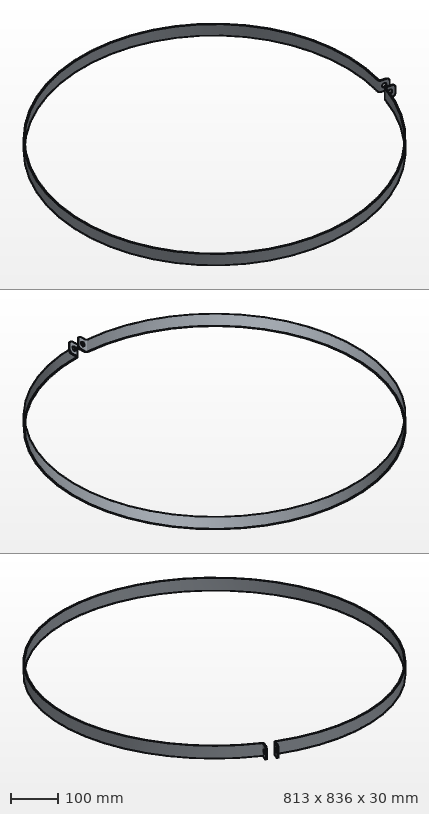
import cadquery as cq
import math

length = 836.0
outer_diameter = 813.0
band_width = 30.0
thickness = 3.0

gap = 22.5
bend_inner_radius = 2.0
lug_corner_radius = 7.5
hole_diameter = 11.0
hole_from_tip = 13.0

outer_radius = outer_diameter / 2
inner_radius = outer_radius - thickness
bend_outer_radius = bend_inner_radius + thickness
lug_tip = length - outer_radius
lug_inner_x = gap / 2
lug_outer_x = lug_inner_x + thickness


def ring_y(x, radius):
    """Height on a ring circle at the given distance from the split plane."""
    return math.sqrt(radius**2 - x**2)


def make_band():
    """Split ring with a straight lug on each side of the split."""
    outer_root = ring_y(lug_outer_x, outer_radius)
    inner_root = ring_y(lug_inner_x, inner_radius)
    return (
        cq.Workplane("XY")
        .workplane(offset=-band_width / 2)
        .moveTo(lug_outer_x, outer_root)
        .threePointArc((0, -outer_radius), (-lug_outer_x, outer_root))
        .lineTo(-lug_outer_x, lug_tip)
        .lineTo(-lug_inner_x, lug_tip)
        .lineTo(-lug_inner_x, inner_root)
        .threePointArc((0, -inner_radius), (lug_inner_x, inner_root))
        .lineTo(lug_inner_x, lug_tip)
        .lineTo(lug_outer_x, lug_tip)
        .close()
        .extrude(band_width)
    )


def upright_edge_at(x, y):
    """Selector for the vertical edge through a profile corner."""
    return cq.selectors.NearestToPointSelector((x, y, 0))


def round_bend(band, side):
    """Round both faces of one bend concentrically; side is +1 or -1 along X."""
    inside_corner = upright_edge_at(side * lug_outer_x, ring_y(lug_outer_x, outer_radius))
    outside_corner = upright_edge_at(side * lug_inner_x, ring_y(lug_inner_x, inner_radius))
    rounded = band.edges("|Z").edges(inside_corner).fillet(bend_inner_radius)
    return rounded.edges("|Z").edges(outside_corner).fillet(bend_outer_radius)


band = make_band()
for side in (1, -1):
    band = round_bend(band, side)
band = band.faces(">Y").edges("|X").fillet(lug_corner_radius)

bolt_hole = (
    cq.Workplane("YZ")
    .center(lug_tip - hole_from_tip, 0)
    .circle(hole_diameter / 2)
    .extrude(lug_outer_x, both=True)
)
result = band.cut(bolt_hole)